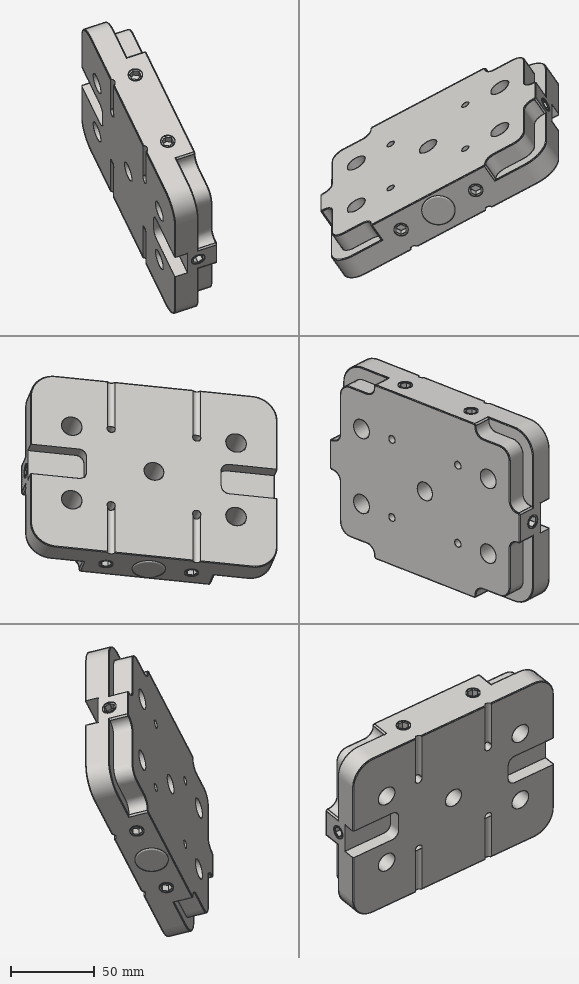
import cadquery as cq

WIDTH = 150
OVERALL_HEIGHT = 117
THICKNESS = 27
DISC_THICKNESS = 1.0
HEIGHT = OVERALL_HEIGHT - DISC_THICKNESS
HALF_WIDTH = WIDTH / 2
HALF_HEIGHT = HEIGHT / 2
RIM_THICKNESS = 15
CORNER_RADIUS = 15
EDGE_CHAMFER = 0.5

RELIEF_INSET = 8.0
TOP_BOSS_HALF_WIDTH = 40.0
SIDE_BOSS_HALF_WIDTH = 10.0
BOSS_CHAMFER = 1.0
BOSS_FILLET = 6
RELIEF_CORNER_RADIUS = 8.0

CENTER_HOLE_DIAMETER = 12
MOUNT_HOLE_DIAMETER = 12.5
MOUNT_SPACING_X = 100.0
MOUNT_SPACING_Z = 50.0
PORT_DIAMETER = 5.0
PORT_SPACING = 52.0

GROOVE_RADIUS = 2.4
GROOVE_DEPTH = 1.8

POCKET_LENGTH = 34.0
POCKET_WIDTH = 20.0
POCKET_DEPTH = 8.1
POCKET_CORNER_RADIUS = 5.0

FITTING_Y = 15
PLUG_DIAMETER = 8.5
PLUG_LENGTH = 10.0
PLUG_RECESS = 0.5
SOCKET_SIDES = 6
SOCKET_ACROSS_CORNERS = 6.9
SOCKET_DEPTH = 4.5
DISC_DIAMETER = 20.0
DISC_EDGE_RADIUS = 0.99

TOP_PLANE = cq.Plane((0, FITTING_Y, HALF_HEIGHT), xDir=(1, 0, 0), normal=(0, 0, 1))
BOTTOM_PLANE = cq.Plane((0, FITTING_Y, -HALF_HEIGHT), xDir=(1, 0, 0), normal=(0, 0, -1))
LEFT_PLANE = cq.Plane((-HALF_WIDTH, FITTING_Y, 0), xDir=(0, 0, 1), normal=(-1, 0, 0))
RIGHT_PLANE = cq.Plane((HALF_WIDTH, FITTING_Y, 0), xDir=(0, 0, 1), normal=(1, 0, 0))

PLUG_POSITIONS = [
    (TOP_PLANE, -PORT_SPACING / 2),
    (TOP_PLANE, PORT_SPACING / 2),
    (BOTTOM_PLANE, -PORT_SPACING / 2),
    (BOTTOM_PLANE, PORT_SPACING / 2),
    (LEFT_PLANE, 0),
    (RIGHT_PLANE, 0),
]


def plate_profile():
    """Sketch plane on the front face, where local Y is Z and negative extrusion goes into the plate."""
    return cq.Workplane("XZ")


def make_corner_relief():
    """Cutter for the upper right back corner, with filleted bosses and a rounded corner."""
    wall_x = HALF_WIDTH - RELIEF_INSET
    wall_z = HALF_HEIGHT - RELIEF_INSET
    return (
        plate_profile()
        .moveTo(TOP_BOSS_HALF_WIDTH - BOSS_CHAMFER, HALF_HEIGHT)
        .lineTo(TOP_BOSS_HALF_WIDTH, HALF_HEIGHT - BOSS_CHAMFER)
        .lineTo(TOP_BOSS_HALF_WIDTH, wall_z + BOSS_FILLET)
        .radiusArc((TOP_BOSS_HALF_WIDTH + BOSS_FILLET, wall_z), -BOSS_FILLET)
        .lineTo(wall_x - RELIEF_CORNER_RADIUS, wall_z)
        .radiusArc((wall_x, wall_z - RELIEF_CORNER_RADIUS), RELIEF_CORNER_RADIUS)
        .lineTo(wall_x, SIDE_BOSS_HALF_WIDTH + BOSS_FILLET)
        .radiusArc((wall_x + BOSS_FILLET, SIDE_BOSS_HALF_WIDTH), -BOSS_FILLET)
        .lineTo(HALF_WIDTH - BOSS_CHAMFER, SIDE_BOSS_HALF_WIDTH)
        .lineTo(HALF_WIDTH, SIDE_BOSS_HALF_WIDTH - BOSS_CHAMFER)
        .lineTo(HALF_WIDTH, HALF_HEIGHT)
        .close()
        .extrude(-THICKNESS)
    )


def make_blank():
    """Chamfered rounded rim joined to the cross-shaped back block."""
    rim = (
        plate_profile()
        .rect(WIDTH, HEIGHT)
        .extrude(-RIM_THICKNESS)
        .edges("|Y")
        .fillet(CORNER_RADIUS)
        .faces("<Y or >Y")
        .chamfer(EDGE_CHAMFER)
    )
    back = (
        plate_profile()
        .workplane(offset=-RIM_THICKNESS / 2)
        .rect(WIDTH, HEIGHT)
        .extrude(RIM_THICKNESS / 2 - THICKNESS)
    )
    relief = make_corner_relief()
    for upper_relief in (relief, relief.mirror("YZ")):
        back = back.cut(upper_relief).cut(upper_relief.mirror("XY"))
    return rim.union(back.faces(">Y").chamfer(EDGE_CHAMFER))


def corner_points(spacing_x, spacing_z):
    """Corners of a rectangle centred on the plate."""
    return [(x * spacing_x / 2, z * spacing_z / 2) for x in (-1, 1) for z in (-1, 1)]


def cut_through_holes(plate):
    hole_groups = [
        (CENTER_HOLE_DIAMETER, [(0, 0)]),
        (MOUNT_HOLE_DIAMETER, corner_points(MOUNT_SPACING_X, MOUNT_SPACING_Z)),
        (PORT_DIAMETER, corner_points(PORT_SPACING, PORT_SPACING)),
    ]
    for diameter, points in hole_groups:
        plate = plate.cut(plate_profile().pushPoints(points).circle(diameter / 2).extrude(-THICKNESS))
    return plate


def cut_grooves(plate):
    length = HALF_HEIGHT - PORT_SPACING / 2
    axis_y = GROOVE_DEPTH - GROOVE_RADIUS
    for face_plane in (TOP_PLANE, BOTTOM_PLANE):
        for x in (-PORT_SPACING / 2, PORT_SPACING / 2):
            edge_point = cq.Vector(x, axis_y, face_plane.origin.z)
            groove = cq.Solid.makeCylinder(GROOVE_RADIUS, length, edge_point, -face_plane.zDir)
            plate = plate.cut(cq.Workplane(groove))
    return plate


def cut_side_pockets(plate):
    for side, inner_edges in ((-1, "|Y and >X"), (1, "|Y and <X")):
        pocket = (
            plate_profile()
            .center(side * (HALF_WIDTH - POCKET_LENGTH / 2), 0)
            .rect(POCKET_LENGTH, POCKET_WIDTH)
            .extrude(-POCKET_DEPTH)
            .edges(inner_edges)
            .fillet(POCKET_CORNER_RADIUS)
        )
        plate = plate.cut(pocket)
    return plate


def plug_sketch(face_plane, offset, depth):
    """Sketch plane centred on one plug axis, at a depth below the plate side."""
    return cq.Workplane(face_plane).center(offset, 0).workplane(offset=-depth)


def cut_plug_bores(plate):
    for face_plane, offset in PLUG_POSITIONS:
        bore_sketch = plug_sketch(face_plane, offset, 0).circle(PLUG_DIAMETER / 2)
        plate = plate.cut(bore_sketch.extrude(-PLUG_RECESS - PLUG_LENGTH))
    return plate


def make_plate():
    plate = make_blank()
    plate = cut_through_holes(plate)
    plate = cut_grooves(plate)
    plate = cut_side_pockets(plate)
    plate = cut_plug_bores(plate)
    return plate


def make_plug(face_plane, offset):
    """Set screw with a hexagon socket, sunk slightly into its bore."""
    sketch = plug_sketch(face_plane, offset, PLUG_RECESS)
    body = sketch.circle(PLUG_DIAMETER / 2).extrude(-PLUG_LENGTH)
    socket = sketch.polygon(SOCKET_SIDES, SOCKET_ACROSS_CORNERS).extrude(-SOCKET_DEPTH)
    return body.cut(socket)


def make_disc():
    """Round-edged disc resting against the lower side of the plate."""
    disc = cq.Workplane(BOTTOM_PLANE).circle(DISC_DIAMETER / 2).extrude(DISC_THICKNESS)
    return disc.faces("<Z").edges().fillet(DISC_EDGE_RADIUS)


plate = make_plate()
disc = make_disc()
plugs = []
for face_plane, offset in PLUG_POSITIONS:
    plugs.append(make_plug(face_plane, offset).val())

result = cq.Compound.makeCompound([plate.val(), disc.val(), *plugs])